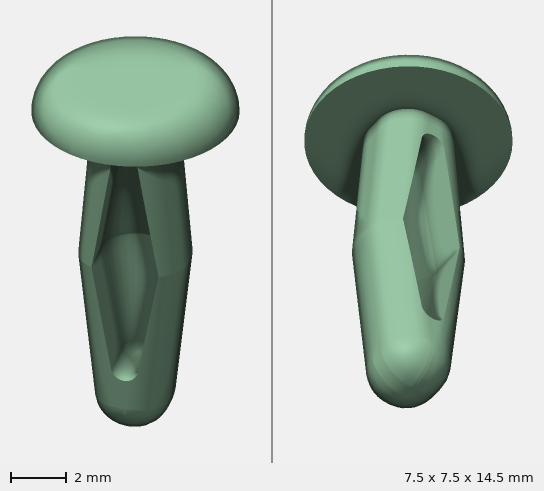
import cadquery as cq
import math

total_height = 14.5
head_diameter = 7.5
head_height = 1.5

shank_thickness = 3.1
neck_half_width = 1.51
bulge_half_width = 2.02
tip_half_width = 1.26
bulge_z = 7.03
tip_radius = 1.33
side_fillet = 1.29

slot_half_width = 1.25
slot_end_half_width = 0.5
slot_rise = 4.55
slot_drop = 4.13

head_radius = head_diameter / 2
head_bottom_z = total_height - head_height


def make_head():
    """Disc with a quarter-round rim and a flat top."""
    flat_radius = head_radius - head_height
    rim_shift = head_height * math.sqrt(0.5)
    return (
        cq.Workplane("XZ")
        .moveTo(0, head_bottom_z)
        .lineTo(head_radius, head_bottom_z)
        .threePointArc(
            (flat_radius + rim_shift, head_bottom_z + rim_shift),
            (flat_radius, total_height),
        )
        .lineTo(0, total_height)
        .close()
        .revolve(360, (0, 0, 0), (0, 1, 0))
    )


def make_shank():
    """Tapered bar with a round tip and heavily rounded long edges."""
    right_side = [
        (tip_half_width, 0),
        (bulge_half_width, bulge_z),
        (neck_half_width, head_bottom_z),
    ]
    left_side = [(-x, z) for x, z in reversed(right_side)]
    bar = (
        cq.Workplane("XZ")
        .polyline(right_side + left_side)
        .close()
        .extrude(shank_thickness / 2, both=True)
        .faces("<Z")
        .edges("|Y")
        .fillet(tip_radius)
    )
    return bar.faces("<Y or >Y").edges("not >Z").fillet(side_fillet)


def slot_end(length, direction):
    """Taper end, arc midpoint and apex of the slot going up (1) or down (-1)."""
    taper = math.atan((slot_half_width - slot_end_half_width) / length)
    radius = slot_end_half_width / math.cos(taper)
    center = length - radius * math.sin(taper)
    mid_angle = (taper + math.pi / 2) / 2
    taper_end = (slot_end_half_width, bulge_z + direction * length)
    arc_middle = (
        radius * math.cos(mid_angle),
        bulge_z + direction * (center + radius * math.sin(mid_angle)),
    )
    apex = (0, bulge_z + direction * (center + radius))
    return taper_end, arc_middle, apex


def slot_half_outline():
    """Right half of the diamond outline with rounded ends, in the XZ plane."""
    upper_taper, upper_arc, upper_apex = slot_end(slot_rise, 1)
    lower_taper, lower_arc, lower_apex = slot_end(slot_drop, -1)
    return (
        cq.Workplane("XZ")
        .moveTo(*lower_apex)
        .threePointArc(lower_arc, lower_taper)
        .lineTo(slot_half_width, bulge_z)
        .lineTo(*upper_taper)
        .threePointArc(upper_arc, upper_apex)
        .close()
    )


def make_slot():
    """Revolved double cone for the floor, joined to straight walls running to -Y."""
    floor = slot_half_outline().revolve(360, (0, 0, 0), (0, 1, 0))
    half_opening = slot_half_outline().extrude(shank_thickness)
    opening = half_opening.union(half_opening.mirror("YZ"))
    return floor.union(opening)


result = make_head().union(make_shank()).cut(make_slot())